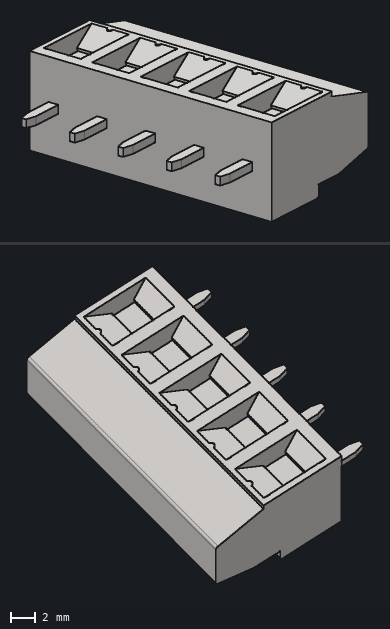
import cadquery as cq
import math


pole_count = 5
pitch = 5.0
length = pole_count * pitch
pole_centres = [(i + 0.5) * pitch for i in range(pole_count)]

depth = 13.2
height = 8.9
taper_angle = math.radians(14)
top_length = 8.2
top_step = 0.45
foot_length = 6.45
foot_height = 1.2
lower_flat_end = 9.2
rear_fillet = 0.3
foot_fillet = 0.3

funnel_width = 3.8
funnel_front = 1.2
funnel_back = 7.7
funnel_depth = 1.45
floor_width = 2.7
throat_front = 2.8
throat_back = 5.1
throat_depth = 0.25
key_radius = 0.28

pin_width = 1.0
pin_thickness = 0.8
pin_length = 4.05
pin_tip_width = 0.5
pin_tip_length = 1.0


def make_housing():
    """Extrude the stepped, tapered side profile along the row."""
    upper_rear_z = height - top_step - (depth - top_length) * math.tan(taper_angle)
    lower_rear_z = foot_height + (depth - lower_flat_end) * math.tan(taper_angle)
    profile = [
        (0, 0),
        (foot_length, 0),
        (foot_length, foot_height),
        (lower_flat_end, foot_height),
        (depth, lower_rear_z),
        (depth, upper_rear_z),
        (top_length, height - top_step),
        (top_length, height),
        (0, height),
    ]
    body = cq.Workplane("YZ").polyline(profile).close().extrude(length)
    body = body.faces(">Y").edges("|X").fillet(rear_fillet)
    foot_corner = cq.NearestToPointSelector((length / 2, foot_length, 0))
    return body.edges("|X").edges(foot_corner).fillet(foot_fillet)


def make_funnel(centre_x):
    """Cutter with flat sloping sides and ends that turn upright near the floor, keyed at the rear."""
    floor_z = height - funnel_depth
    throat_z = floor_z + throat_depth
    cross_section = [
        (centre_x - funnel_width / 2, height),
        (centre_x - floor_width / 2, floor_z),
        (centre_x + floor_width / 2, floor_z),
        (centre_x + funnel_width / 2, height),
    ]
    side_section = [
        (funnel_front, height),
        (throat_front, throat_z),
        (throat_front, floor_z),
        (throat_back, floor_z),
        (throat_back, throat_z),
        (funnel_back, height),
    ]
    side_walls = cq.Workplane("XZ").polyline(cross_section).close().extrude(-depth)
    end_walls = cq.Workplane("YZ").polyline(side_section).close().extrude(length)
    key = (
        cq.Workplane("XY", origin=(centre_x, funnel_back, height))
        .circle(key_radius)
        .extrude(-funnel_depth)
    )
    return side_walls.intersect(end_walls).cut(key)


def make_pin(centre_x):
    """Flat pin at mid-height whose sides taper in towards the tip."""
    taper_start = pin_tip_length - pin_length
    half_width = pin_width / 2
    half_tip = pin_tip_width / 2
    outline = [
        (-half_width, 0),
        (-half_width, taper_start),
        (-half_tip, -pin_length),
        (half_tip, -pin_length),
        (half_width, taper_start),
        (half_width, 0),
    ]
    return (
        cq.Workplane("XY", origin=(centre_x, 0, (height - pin_thickness) / 2))
        .polyline(outline)
        .close()
        .extrude(pin_thickness)
    )


result = make_housing()
for pole_x in pole_centres:
    result = result.cut(make_funnel(pole_x)).union(make_pin(pole_x))